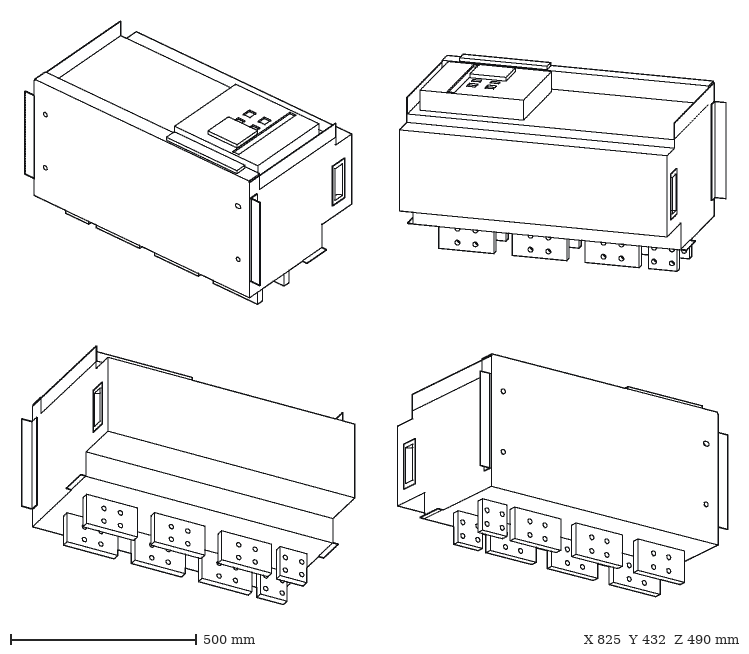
import cadquery as cq


sheet = 2.0
case_width = 756.5
case_depth = 432.0
case_bottom = 91.0
floor_z = 422.0
side_wall_top = 469.5
upper_depth = 365.0
lower_depth = 307.0
rear_step_bottom = 167.5
rear_step_top = 398.5
half_case = case_width / 2

rail_top = 474.0
rail_depth = 45.0
label_left, label_right = 82.0, 329.0
label_front, label_back = 6.0, 40.0
label_top = 484.0

panel_left, panel_right = 61.0, 353.0
panel_front, panel_back = 65.0, 323.0
panel_top = 479.0
display_left, display_right = 154.0, 256.5
display_front, display_back = 94.0, 181.0
overall_top = 490.0
recess_depth = 5.0
groove_left, groove_right = 258.0, 280.0
groove_front, groove_back = 73.5, 315.0
button_lefts = (167.5, 219.5)
button_width = 24.0
button_rows = ((227.0, 253.0), (193.0, 206.0))

overall_width = 825.0
bracket_bottom, bracket_top = 144.0, 417.5
bracket_front = 2.0
bracket_thickness = 3.0
bracket_leg_back = 30.5

foot_reach = 394.0
foot_front = 223.5

handle_y = 375.0
handle_z = 271.5
bezel_width, bezel_height = 52.0, 130.0
grip_width = 32.0
grip_height = 104.0

busbar_thickness = 21.5
busbar_fronts = (90.0, 202.0)
busbar_hole_diameter = 13.0
hole_pitch = 50.0
lower_hole_z = 21.5
upper_hole_z = 61.0
busbars = (
    (-342.0, -261.0, -302.0),
    (-235.0, -82.0, -159.0),
    (-30.5, 124.0, 47.0),
    (176.0, 332.0, 253.0),
)

front_hole_diameter = 13.0
front_hole_depth = 16.5
front_hole_x = 338.0
front_hole_zs = (200.0, 374.5)
front_slot_length = 18.0


def block(x_range, y_range, z_range):
    """Box between two limits along each axis."""
    (x0, x1), (y0, y1), (z0, z1) = x_range, y_range, z_range
    return cq.Workplane("XY").box(x1 - x0, y1 - y0, z1 - z0, centered=False).translate((x0, y0, z0))


def on_both_sides(feature):
    return feature.union(feature.mirror("YZ"))


def make_case():
    across = (-half_case, half_case)
    case = block(across, (0, lower_depth), (case_bottom, floor_z))
    case = case.union(block(across, (0, upper_depth), (rear_step_bottom, floor_z)))
    case = case.union(block(across, (0, case_depth), (rear_step_bottom, rear_step_top)))
    side_wall = block((-half_case, -half_case + sheet), (0, upper_depth), (rear_step_bottom, side_wall_top))
    case = case.union(on_both_sides(side_wall))
    rail_half = half_case - sheet
    return case.union(block((-rail_half, rail_half), (0, rail_depth), (floor_z, rail_top)))


def make_label():
    return block((label_left, label_right), (label_front, label_back), (rail_top, label_top))


def make_panel():
    panel = block((panel_left, panel_right), (panel_front, panel_back), (floor_z, panel_top))
    recess_z = (panel_top - recess_depth, panel_top)
    panel = panel.cut(block((groove_left, groove_right), (groove_front, groove_back), recess_z))
    for left in button_lefts:
        for row in button_rows:
            panel = panel.cut(block((left, left + button_width), row, recess_z))
    display = block((display_left, display_right), (display_front, display_back), (panel_top, overall_top))
    return panel.union(display)


def make_brackets():
    z_range = (bracket_bottom, bracket_top)
    leg_x = -half_case - bracket_thickness
    leg = block((leg_x, -half_case), (bracket_front, bracket_leg_back), z_range)
    flange = block((-overall_width / 2, -half_case), (bracket_front, bracket_front + bracket_thickness), z_range)
    return on_both_sides(leg.union(flange))


def make_feet():
    foot = block((-foot_reach, -half_case), (foot_front, lower_depth), (case_bottom, case_bottom + sheet))
    return on_both_sides(foot)


def make_bezels():
    bezel = block(
        (-half_case - sheet, -half_case),
        (handle_y - bezel_width / 2, handle_y + bezel_width / 2),
        (handle_z - bezel_height / 2, handle_z + bezel_height / 2),
    )
    return on_both_sides(bezel)


def make_grips():
    """Half-round hollows that open through the bezels."""
    grip = (
        cq.Workplane("XY", origin=(-half_case - sheet, handle_y, handle_z - grip_height / 2))
        .circle(grip_width / 2)
        .extrude(grip_height)
    )
    return on_both_sides(grip)


def make_busbar(left, right, hole_middle, front):
    bar = block((left, right), (front, front + busbar_thickness), (0, case_bottom))
    centres = [
        (hole_middle + side * hole_pitch / 2, z) for side in (-1, 1) for z in (lower_hole_z, upper_hole_z)
    ]
    holes = (
        cq.Workplane("XZ", origin=(0, front, 0))
        .pushPoints(centres)
        .circle(busbar_hole_diameter / 2)
        .extrude(-busbar_thickness)
    )
    return bar.cut(holes)


def make_front_holes():
    lower_z, upper_z = front_hole_zs
    round_holes = (
        cq.Workplane("XZ")
        .pushPoints([(-front_hole_x, lower_z), (-front_hole_x, upper_z), (front_hole_x, lower_z)])
        .circle(front_hole_diameter / 2)
        .extrude(-front_hole_depth)
    )
    slot = (
        cq.Workplane("XZ")
        .center(front_hole_x, upper_z)
        .slot2D(front_slot_length, front_hole_diameter)
        .extrude(-front_hole_depth)
    )
    return round_holes.union(slot)


result = make_case()
for part in (make_label(), make_panel(), make_brackets(), make_feet(), make_bezels()):
    result = result.union(part)
for bar_front in busbar_fronts:
    for bar_left, bar_right, bar_hole_middle in busbars:
        result = result.union(make_busbar(bar_left, bar_right, bar_hole_middle, bar_front))
result = result.cut(make_grips()).cut(make_front_holes())